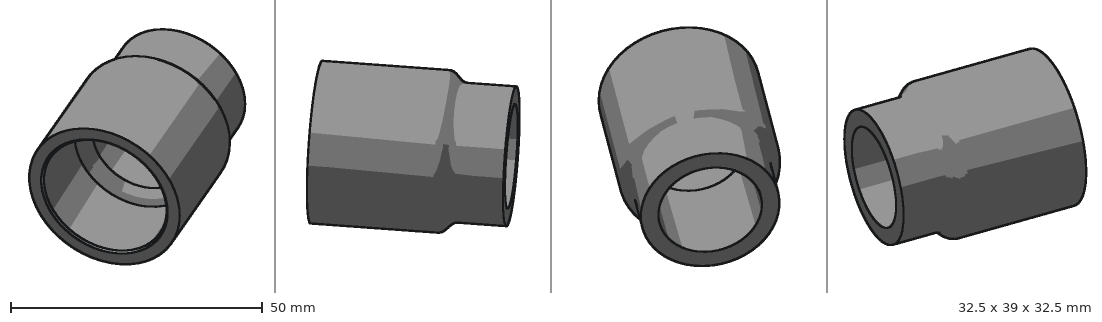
import cadquery as cq
import math

length = 39.0
body_diameter = 32.5
body_radius = body_diameter / 2
neck_radius = 13.95

shoulder_start = 25.3
shoulder_angle = math.radians(45)
shoulder_arc_radius = 2.05

socket_radius = 13.22
mouth_chamfer = 0.43
socket_depth = 16.1
step_radius = 12.0
step_depth = 17.0
bore_radius = 10.4
bore_cone_length = step_radius - bore_radius

mouth_y = -length / 2
neck_y = length / 2


def outer_solid():
    """Body and neck, blended by a convex and a concave arc."""
    def arc_run(angle):
        return shoulder_arc_radius * math.sin(angle)

    def arc_drop(angle):
        return shoulder_arc_radius * (1 - math.cos(angle))

    full, half = shoulder_angle, shoulder_angle / 2
    cone_drop = body_radius - neck_radius - 2 * arc_drop(full)
    cone_run = cone_drop / math.tan(full)
    start_y = mouth_y + shoulder_start
    end_y = start_y + 2 * arc_run(full) + cone_run
    return (
        cq.Workplane("XY")
        .moveTo(0, mouth_y)
        .lineTo(body_radius, mouth_y)
        .lineTo(body_radius, start_y)
        .threePointArc(
            (body_radius - arc_drop(half), start_y + arc_run(half)),
            (body_radius - arc_drop(full), start_y + arc_run(full)),
        )
        .lineTo(neck_radius + arc_drop(full), end_y - arc_run(full))
        .threePointArc(
            (neck_radius + arc_drop(half), end_y - arc_run(half)),
            (neck_radius, end_y),
        )
        .lineTo(neck_radius, neck_y)
        .lineTo(0, neck_y)
        .close()
        .revolve(360, (0, 0, 0), (0, 1, 0))
    )


def inner_void():
    """Chamfered socket, a conical floor, then a cone narrowing to the through bore."""
    return (
        cq.Workplane("XY")
        .moveTo(0, mouth_y)
        .lineTo(socket_radius + mouth_chamfer, mouth_y)
        .lineTo(socket_radius, mouth_y + mouth_chamfer)
        .lineTo(socket_radius, mouth_y + socket_depth)
        .lineTo(step_radius, mouth_y + step_depth)
        .lineTo(bore_radius, mouth_y + step_depth + bore_cone_length)
        .lineTo(bore_radius, neck_y)
        .lineTo(0, neck_y)
        .close()
        .revolve(360, (0, 0, 0), (0, 1, 0))
    )


result = outer_solid().cut(inner_void())